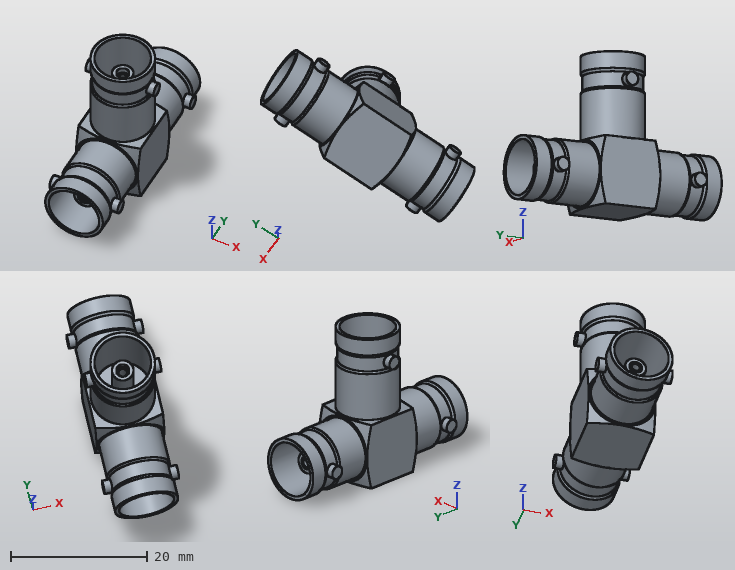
import cadquery as cq

overall_length = 31.62
overall_height = 23.1
block_size = 10.2
block_half = block_size / 2
side_tip = overall_length / 2
top_tip = overall_height - block_half
chamfer_circle_radius = 5.05
chamfer_depth = 0.85

shell_radius = 4.75
groove_radius = 4.5
collar_length = 2.5
groove_start = 2.97
groove_end = 5.2
shoulder_start = 5.53
bore_radius = 4.15
bore_depth = side_tip - block_half

insulator_radius = 1.58
insulator_recess = 3.15
top_contact_recess = 4.1
side_contact_recess = 3.2
contact_radius = 0.95
contact_hole_radius = 0.63

pin_span = 11.2
pin_radius = 1.0
pin_offset = (groove_start + groove_end) / 2


def cylinder(radius, bottom, top):
    """Solid cylinder on the Z axis between two heights."""
    return cq.Workplane("XY").workplane(offset=bottom).circle(radius).extrude(top - bottom)


def arm_outside(tip):
    """Grooved shell and bayonet pins of an arm that runs up the Z axis to `tip`."""
    shell = (
        cq.Workplane("XZ")
        .moveTo(0, 0)
        .lineTo(shell_radius, 0)
        .lineTo(shell_radius, tip - shoulder_start)
        .lineTo(groove_radius, tip - groove_end)
        .lineTo(groove_radius, tip - groove_start)
        .lineTo(shell_radius, tip - collar_length)
        .lineTo(shell_radius, tip)
        .lineTo(0, tip)
        .close()
        .revolve(360, (0, 0, 0), (0, 1, 0))
    )
    pins = (
        cq.Workplane("YZ")
        .center(0, tip - pin_offset)
        .circle(pin_radius)
        .extrude(pin_span / 2, both=True)
    )
    return shell.union(pins)


def arm_cavity(tip, contact_recess):
    """Space to remove from an arm: the bore around the insulator and the hollow contact."""
    floor = tip - bore_depth
    bore = cylinder(bore_radius, floor, tip)
    insulator = cylinder(insulator_radius, floor, tip - insulator_recess)
    contact_hole = cylinder(contact_hole_radius, floor, tip - contact_recess)
    recess = cylinder(contact_radius, tip - contact_recess, tip - insulator_recess)
    return bore.cut(insulator).union(recess).union(contact_hole)


def body_block():
    """Cube whose corners are turned to a cone towards each side arm."""
    corner_radius = block_half * 2**0.5
    turned_envelope = (
        cq.Workplane("XZ")
        .moveTo(0, -block_half)
        .lineTo(chamfer_circle_radius, -block_half)
        .lineTo(corner_radius, chamfer_depth - block_half)
        .lineTo(corner_radius, block_half - chamfer_depth)
        .lineTo(chamfer_circle_radius, block_half)
        .lineTo(0, block_half)
        .close()
        .revolve(360, (0, 0, 0), (0, 1, 0))
        .rotate((0, 0, 0), (1, 0, 0), 90)
    )
    return cq.Workplane("XY").box(block_size, block_size, block_size).intersect(turned_envelope)


arms = [
    (top_tip, top_contact_recess, 0),
    (side_tip, side_contact_recess, 90),
    (side_tip, side_contact_recess, -90),
]

result = body_block()
for tip, _, tilt in arms:
    result = result.union(arm_outside(tip).rotate((0, 0, 0), (1, 0, 0), tilt))
for tip, contact_recess, tilt in arms:
    result = result.cut(arm_cavity(tip, contact_recess).rotate((0, 0, 0), (1, 0, 0), tilt))